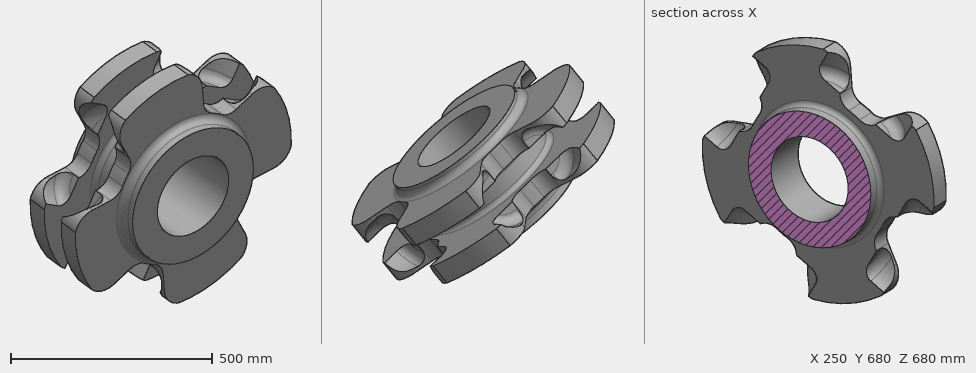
import cadquery as cq
import math

total_width = 250.0
plate_width = 57.0
plate_gap = 68.5
short_hub_length = 28.5

bore_diameter = 224.0
hub_diameter = 380.0
groove_diameter = 360.0
tip_radius = 340.0
root_radius = 211.0
hub_fillet = 20.0
groove_fillet = 13.5

tooth_count = 4
first_gap_angle = 60.0
flank_angle = 34.4
flank_point_radial = 255.0
flank_point_side = 76.0
root_fillet = 45.5
flank_end_distance = 26.5
tip_round = 61.0

pocket_width = 166.5
pocket_center_offset = 66.0
pocket_floor = 232.5
pocket_fillet = 28.0
pocket_overshoot = 34.0

hub_start = -total_width / 2
first_plate_start = hub_start + short_hub_length
groove_start = first_plate_start + plate_width
groove_end = groove_start + plate_gap
second_plate_end = groove_end + plate_width
hub_end = total_width / 2
groove_middle = (groove_start + groove_end) / 2


def make_core():
    """Revolve the hub, its two outer fillets and the filleted groove about X."""
    hub_radius = hub_diameter / 2
    groove_radius = groove_diameter / 2
    hub_shoulder = hub_radius + hub_fillet
    groove_shoulder = groove_radius + groove_fillet
    diagonal = 1 - math.sqrt(0.5)
    hub_dip = hub_fillet * diagonal
    groove_dip = groove_fillet * diagonal
    profile = (
        cq.Workplane("XY")
        .moveTo(hub_start, bore_diameter / 2)
        .lineTo(hub_start, hub_radius)
        .lineTo(first_plate_start - hub_fillet, hub_radius)
        .threePointArc(
            (first_plate_start - hub_dip, hub_radius + hub_dip),
            (first_plate_start, hub_shoulder),
        )
        .lineTo(groove_start, hub_shoulder)
        .lineTo(groove_start, groove_shoulder)
        .threePointArc(
            (groove_start + groove_dip, groove_radius + groove_dip),
            (groove_start + groove_fillet, groove_radius),
        )
        .lineTo(groove_end - groove_fillet, groove_radius)
        .threePointArc(
            (groove_end - groove_dip, groove_radius + groove_dip),
            (groove_end, groove_shoulder),
        )
        .lineTo(groove_end, hub_shoulder)
        .lineTo(second_plate_end, hub_shoulder)
        .threePointArc(
            (second_plate_end + hub_dip, hub_radius + hub_dip),
            (second_plate_end + hub_fillet, hub_radius),
        )
        .lineTo(hub_end, hub_radius)
        .lineTo(hub_end, bore_diameter / 2)
        .close()
    )
    return profile.revolve(360, (0, 0, 0), (1, 0, 0))


def polar(radius, angle):
    """Return the (Y, Z) point at a radius and an angle in radians."""
    return radius * math.cos(angle), radius * math.sin(angle)


def arc_point(center, radius, angle):
    """Return the point of a circle at an angle in radians."""
    offset = polar(radius, angle)
    return center[0] + offset[0], center[1] + offset[1]


def half_gap_points():
    """Points from the root to the tooth tip on one side of a gap centred on Y.

    They are the end, middle and end of the root fillet, then of the tip round.
    """
    flank = math.radians(flank_angle)
    flank_point = (flank_point_radial, flank_point_side)

    fillet_line = arc_point(flank_point, root_fillet, flank - math.pi / 2)
    along = fillet_line[0] * math.cos(flank) + fillet_line[1] * math.sin(flank)
    across = fillet_line[1] * math.cos(flank) - fillet_line[0] * math.sin(flank)
    back = along - math.sqrt((root_radius + root_fillet) ** 2 - across**2)
    fillet_center = arc_point(fillet_line, -back, flank)
    fillet_angle = math.atan2(fillet_center[1], fillet_center[0])
    root_end = polar(root_radius, fillet_angle)
    fillet_middle = arc_point(
        fillet_center, root_fillet, (fillet_angle + math.pi + flank + math.pi / 2) / 2
    )
    flank_start = arc_point(fillet_center, root_fillet, flank + math.pi / 2)

    flank_end = arc_point(flank_point, flank_end_distance, flank)
    round_center = arc_point(flank_end, tip_round, flank + math.pi / 2)
    center_distance = math.hypot(*round_center)
    turn = math.acos(
        (tip_radius**2 + center_distance**2 - tip_round**2) / (2 * tip_radius * center_distance)
    )
    tip_end = polar(tip_radius, math.atan2(round_center[1], round_center[0]) - turn)
    end_angle = math.atan2(tip_end[1] - round_center[1], tip_end[0] - round_center[0])
    round_middle = arc_point(round_center, tip_round, (flank - math.pi / 2 + end_angle) / 2)
    return root_end, fillet_middle, flank_start, flank_end, round_middle, tip_end


def turned(point, angle):
    """Turn a point about the X axis by an angle in radians."""
    return arc_point(polar(point[0], angle), point[1], angle + math.pi / 2)


def make_plate(start):
    """Toothed plate whose first face is at X = start."""
    half_gap = half_gap_points()
    mirrored = [(y, -z) for y, z in reversed(half_gap)]
    pitch = 2 * math.pi / tooth_count
    first_gap = math.radians(first_gap_angle)
    outline = cq.Workplane("YZ", origin=(start, 0, 0)).moveTo(*turned(mirrored[0], first_gap))
    for index in range(tooth_count):
        gap = first_gap + index * pitch
        tip_in, round_in, flank_in_start, flank_in_end, fillet_in, root_in = mirrored
        root_out, fillet_out, flank_out_start, flank_out_end, round_out, tip_out = half_gap
        outline = (
            outline.threePointArc(turned(round_in, gap), turned(flank_in_start, gap))
            .lineTo(*turned(flank_in_end, gap))
            .threePointArc(turned(fillet_in, gap), turned(root_in, gap))
            .threePointArc(polar(root_radius, gap), turned(root_out, gap))
            .threePointArc(turned(fillet_out, gap), turned(flank_out_start, gap))
            .lineTo(*turned(flank_out_end, gap))
            .threePointArc(turned(round_out, gap), turned(tip_out, gap))
            .threePointArc(polar(tip_radius, gap + pitch / 2), turned(tip_in, gap + pitch))
        )
    return outline.close().extrude(plate_width)


def make_pocket_cutter():
    """Link-shaped slot opening outward along Z, with a full rounded bottom edge."""
    return (
        cq.Workplane("XY", origin=(groove_middle, 0, pocket_floor))
        .slot2D(2 * pocket_center_offset + pocket_width, pocket_width, 90)
        .extrude(tip_radius + pocket_overshoot - pocket_floor)
        .faces("<Z")
        .edges()
        .fillet(pocket_fillet)
    )


bore = cq.Workplane("YZ", origin=(hub_start, 0, 0)).circle(bore_diameter / 2).extrude(total_width)

result = make_core()
for plate_start in (first_plate_start, groove_end):
    result = result.union(make_plate(plate_start).cut(bore))

pocket = make_pocket_cutter()
for index in range(tooth_count):
    angle = first_gap_angle - 90 + index * 360 / tooth_count
    result = result.cut(pocket.rotate((0, 0, 0), (1, 0, 0), angle))